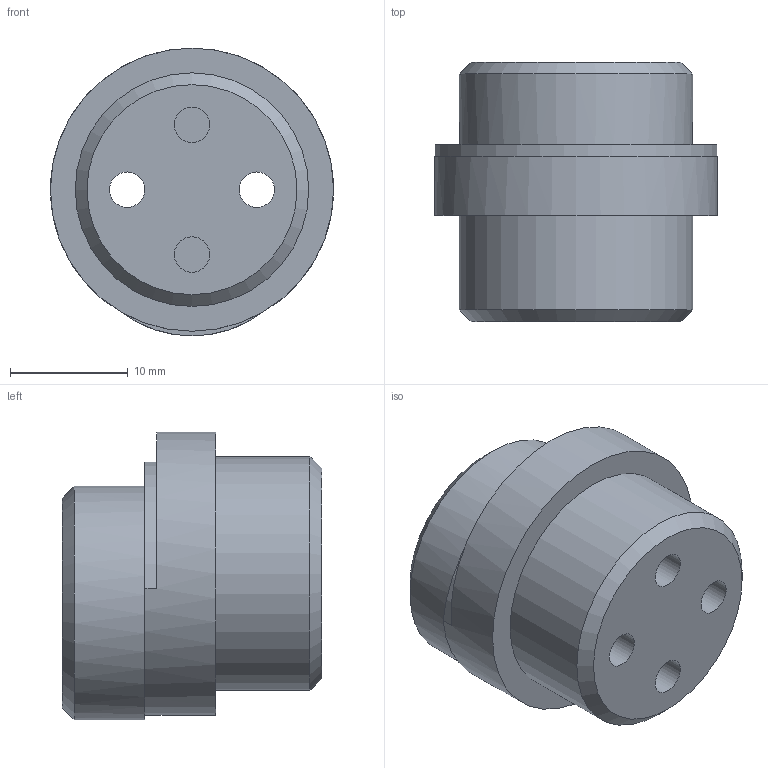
import cadquery as cq

front_boss_length = 9.0
flange_length = 5.0
relief_length = 1.0
rear_boss_length = 7.0
chamfer = 1.0

flange_diameter = 24.0
boss_diameter = 19.8
hole_diameter = 3.0

eccentricity = 2.5

hole_circle_radius = 5.5
blind_hole_depth = front_boss_length

front_face_y = -front_boss_length
relief_start_y = flange_length
rear_boss_start_y = relief_start_y + relief_length
rear_face_y = rear_boss_start_y + rear_boss_length
total_length = rear_face_y - front_face_y


def cylinder(diameter, start_y, length, x=0.0, z=0.0):
    """Solid cylinder running along +Y from start_y, with its axis at (x, z)."""
    start = cq.Vector(x, start_y, z)
    return cq.Workplane(cq.Solid.makeCylinder(diameter / 2, length, start, cq.Vector(0, 1, 0)))


def make_front_boss():
    boss = cylinder(boss_diameter, front_face_y, front_boss_length)
    return boss.faces("<Y").chamfer(chamfer)


def make_rear_boss():
    boss = cylinder(boss_diameter, rear_boss_start_y, rear_boss_length, z=-eccentricity)
    return boss.faces(">Y").chamfer(chamfer)


def make_relief_step():
    """Overlap of the flange disc and an equal disc on the eccentric axis."""
    main_disc = cylinder(flange_diameter, relief_start_y, relief_length)
    eccentric_disc = cylinder(flange_diameter, relief_start_y, relief_length, z=-eccentricity)
    return main_disc.intersect(eccentric_disc)


def make_body():
    flange = cylinder(flange_diameter, 0.0, flange_length)
    body = make_front_boss().union(flange)
    return body.union(make_relief_step()).union(make_rear_boss())


def cut_holes(body):
    for side in (-1, 1):
        offset = side * hole_circle_radius
        through_hole = cylinder(hole_diameter, front_face_y, total_length, x=offset)
        blind_hole = cylinder(hole_diameter, front_face_y, blind_hole_depth, z=offset)
        body = body.cut(through_hole).cut(blind_hole)
    return body


result = cut_holes(make_body())